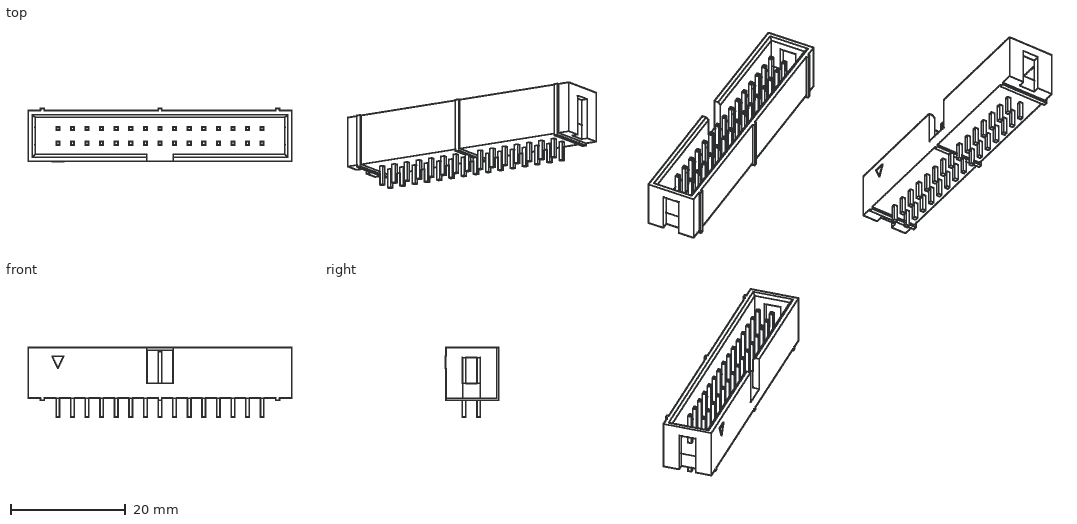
import cadquery as cq

length = 45.9
width = 8.85
height = 8.8
rim_thickness = 0.75
chamfer_width = 0.45
chamfer_depth = 0.45
floor_height = 2.55

pin_row_length = 35.55
pin_columns = 15
pin_rows = 2
pin_size = 0.65
pin_bottom = -3.3
pin_top = 8.25
pin_tip_width = 0.1
pin_tip_height = 0.2

key_width = 4.55
window_width = 3.05
window_top = 7.0

rib_width = 0.7
rib_depth = 0.345
rib_spacing = 20.45
foot_height = 0.4

marker_width = 2.0
marker_height = 2.1
marker_top = 7.3
marker_thickness = 0.115

wall = rim_thickness + chamfer_width
inner_length = length - 2 * wall
inner_width = width - 2 * wall
pin_pitch = pin_row_length / (pin_columns - 1)
first_pin_x = -pin_row_length / 2


def block(x_size, y_size, z_low, z_high, x=0.0, y=0.0):
    """Upright box centred on (x, y) between two heights."""
    box = cq.Workplane("XY").box(x_size, y_size, z_high - z_low, centered=(True, True, False))
    return box.translate((x, y, z_low))


def make_housing():
    """Open box whose rim is bevelled inward around the cavity."""
    body = block(length, width, 0, height)
    cavity = block(inner_length, inner_width, floor_height, height)
    bevel = (
        cq.Workplane("XY", origin=(0, 0, height - chamfer_depth))
        .rect(inner_length, inner_width)
        .workplane(offset=chamfer_depth)
        .rect(inner_length + 2 * chamfer_width, inner_width + 2 * chamfer_width)
        .loft(ruled=True)
    )
    return body.cut(cavity).cut(bevel)


def cut_openings(body):
    """Key slot in the front wall and a full-depth slot in each end wall."""
    key_y = -(width - wall) / 2
    body = body.cut(block(key_width, wall, floor_height, height, y=key_y))
    for side in (-1, 1):
        end_x = side * (length - wall) / 2
        body = body.cut(block(wall, window_width, 0, window_top, x=end_x))
    return body


def make_rib(x):
    """Back-wall rib joined to the foot that crosses the underside."""
    foot = block(rib_width, width + rib_depth, -foot_height, 0, x, rib_depth / 2)
    rib = block(rib_width, rib_depth, 0, height, x, (width + rib_depth) / 2)
    return foot.union(rib)


def make_pin(x, y):
    """Square pin with a bevelled upper tip."""
    pin = block(pin_size, pin_size, pin_bottom, pin_top, x, y)
    return pin.faces(">Z").chamfer(pin_tip_height, pin_tip_width)


def make_marker():
    """Triangle on the front wall pointing down at the first pin."""
    half_width = marker_width / 2
    return (
        cq.Workplane("XZ", origin=(first_pin_x, -width / 2, 0))
        .moveTo(-half_width, marker_top)
        .lineTo(half_width, marker_top)
        .lineTo(0, marker_top - marker_height)
        .close()
        .extrude(marker_thickness)
    )


result = cut_openings(make_housing())

for rib_x in (-rib_spacing, 0, rib_spacing):
    result = result.union(make_rib(rib_x))

for column in range(pin_columns):
    for row in range(pin_rows):
        pin_x = first_pin_x + column * pin_pitch
        pin_y = (row - (pin_rows - 1) / 2) * pin_pitch
        result = result.union(make_pin(pin_x, pin_y))

result = result.union(make_marker())